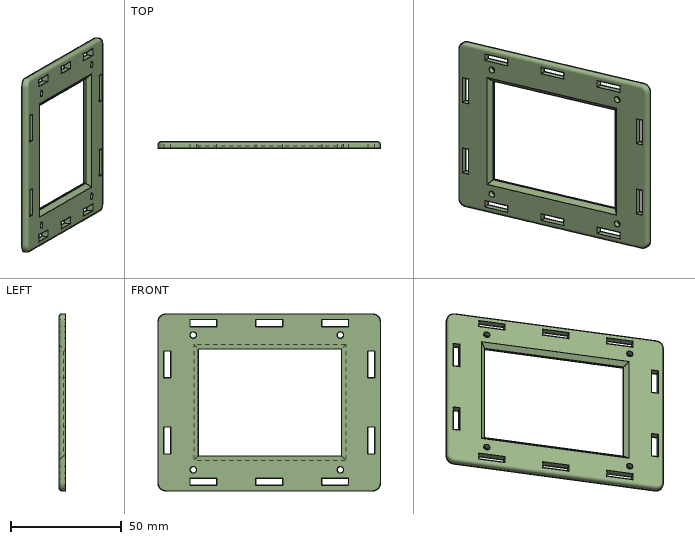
import cadquery as cq

width = 100.4
height = 79.9
thickness = 3.0
corner_radius = 3.6
back_edge_radius = 1.5

window_width = 64.6
window_height = 48.2
window_shift_x = 0.3
window_rim_depth = 1.0

slot_length = 12.0
slot_width = 3.1
slot_margin = 2.6
long_side_slot_pitch = 29.7
short_side_slot_pitch = 34.3

hole_diameter = 2.8
hole_spacing_x = 66.4
hole_spacing_z = 60.7
hole_shift_x = -1.1

window_bevel = thickness - window_rim_depth
slot_inset = slot_margin + slot_width / 2
slot_row_x = width / 2 - slot_inset
slot_row_z = height / 2 - slot_inset


def front_plane():
    """Sketch plane on the front face; its local axes are X and Z."""
    return cq.Workplane("XZ", origin=(0, -thickness / 2, 0))


def make_plate():
    """Rounded plate with its back outer edge filleted."""
    plate = front_plane().rect(width, height).extrude(-thickness)
    plate = plate.edges("|Y").fillet(corner_radius)
    return plate.faces(">Y").edges().fillet(back_edge_radius)


def make_window():
    """Opening that widens toward the back face."""
    opening = front_plane().center(window_shift_x, 0).rect(window_width, window_height).extrude(-thickness)
    flare = (
        cq.Workplane("XZ", origin=(window_shift_x, thickness / 2, 0))
        .rect(window_width + 2 * window_bevel, window_height + 2 * window_bevel)
        .extrude(window_bevel, taper=45)
    )
    return opening.union(flare)


def make_slots():
    """Three slots along each long side and two along each short side."""
    long_side_centers = [
        (column * long_side_slot_pitch, side * slot_row_z)
        for side in (-1, 1)
        for column in (-1, 0, 1)
    ]
    long_side_slots = front_plane().pushPoints(long_side_centers).rect(slot_length, slot_width)
    short_side_grid = front_plane().rarray(2 * slot_row_x, short_side_slot_pitch, 2, 2)
    short_side_slots = short_side_grid.rect(slot_width, slot_length)
    return long_side_slots.extrude(-thickness).union(short_side_slots.extrude(-thickness))


def make_screw_holes():
    hole_grid = front_plane().center(hole_shift_x, 0).rarray(hole_spacing_x, hole_spacing_z, 2, 2)
    return hole_grid.circle(hole_diameter / 2).extrude(-thickness)


result = make_plate().cut(make_window()).cut(make_slots()).cut(make_screw_holes())